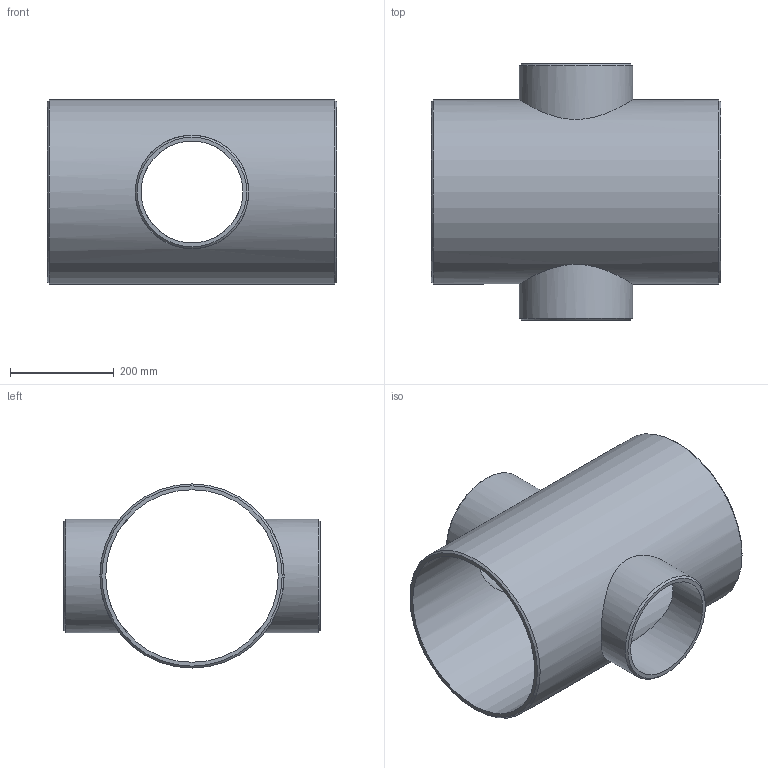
import cadquery as cq

RUN_LENGTH = 558.8
RUN_DIAMETER = 355.6
BRANCH_LENGTH = 495.3
BRANCH_DIAMETER = 219.1

WALL = 11.13
BEVEL = WALL / 3


def centred_rod(plane, diameter, length):
    """Solid cylinder along the plane's normal, centred on the origin."""
    return cq.Workplane(plane).circle(diameter / 2).extrude(length / 2, both=True)


def bevelled_rod(plane, diameter, length):
    """Centred cylinder with a bevel around both end faces."""
    return centred_rod(plane, diameter, length).faces("%PLANE").chamfer(BEVEL)


run_outside = bevelled_rod("YZ", RUN_DIAMETER, RUN_LENGTH)
branch_outside = bevelled_rod("XZ", BRANCH_DIAMETER, BRANCH_LENGTH)

run_bore = centred_rod("YZ", RUN_DIAMETER - 2 * WALL, RUN_LENGTH)
branch_bore = centred_rod("XZ", BRANCH_DIAMETER - 2 * WALL, BRANCH_LENGTH)

result = run_outside.union(branch_outside).cut(run_bore).cut(branch_bore)